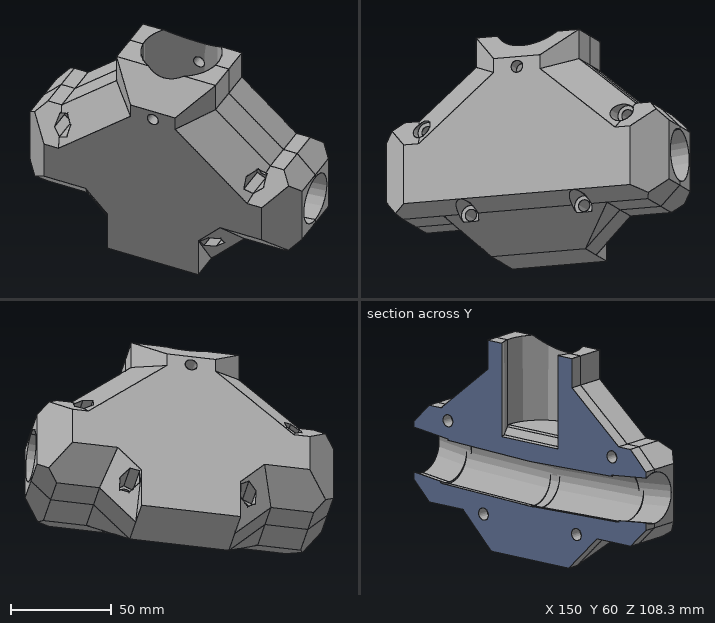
import cadquery as cq
import math

half_length = 75.0
half_depth = 30.0
height = 108.3
bevel = 15.0

neck_half_width = 27.3
neck_height = 15.0
leg_half_width = 25.0
arm_bottom = 18.3
arm_height = 50.0
arm_end_flat = 30.0
shoulder_x = 57.5

arm_top = arm_bottom + arm_height
corner_cut = (arm_height - arm_end_flat) / 2
neck_bottom = height - neck_height
leg_corner_x = leg_half_width + arm_bottom

rear_slope_rise = 5.1

socket_diameter = 40.2
socket_y = 2.5
socket_depth_front = 48.0
socket_step = 4.2
socket_ramp_y = -3.3

bore_diameter = 26.1
bore_mouth_z = 43.6
bore_tilt = 6.0
bore_depth = 21.0
inner_bore_drop = 0.68
inner_bore_middle_z = 39.2
bore_overshoot = 3.0

bolt_diameter = 6.0
bolt_recess_diameter = 10.0
nut_pocket_floor = 12.0
counterbore_floor = 15.0
neck_bolt = (0.0, 88.4)
shoulder_bolt_x = 53.0
shoulder_bolt_z = 62.2
leg_bolt_x = 30.0
recessed_bolts = [
    (-shoulder_bolt_x, shoulder_bolt_z, -5.0),
    (shoulder_bolt_x, shoulder_bolt_z, 5.0),
    (-leg_bolt_x, arm_bottom, 5.0),
    (leg_bolt_x, arm_bottom, 5.0),
]


def mirrored_outline(right_side):
    """Closed outline from the points of its right side, listed from top to bottom."""
    left_side = [(-x, z) for x, z in reversed(right_side) if x > 0]
    return right_side + left_side


def bevelled_prism(right_side):
    """Convex prism on the -Y side of the split plane, bevelled all round its outer face."""
    outline = mirrored_outline(right_side)
    straight = cq.Workplane("XZ").polyline(outline).close().extrude(half_depth - bevel)
    tapered = (
        cq.Workplane("XZ", origin=(0, bevel - half_depth, 0))
        .polyline(outline)
        .close()
        .extrude(bevel, taper=45)
    )
    return straight.union(tapered)


def upper_block(base):
    """Neck, sloping shoulders and arms, all standing on the level `base`."""
    slope_run = (shoulder_x - neck_half_width) / (neck_bottom - arm_top)
    slope_top_x = neck_half_width - neck_height * slope_run
    slope_end_z = arm_top - (half_length - shoulder_x) / slope_run
    neck = bevelled_prism([(neck_half_width, height), (neck_half_width, base)])
    shoulders = bevelled_prism([(slope_top_x, height), (half_length, slope_end_z), (half_length, base)])
    arms = bevelled_prism([(half_length, arm_top), (half_length, base)])
    return neck.union(shoulders).union(arms)


def front_blank():
    leg = bevelled_prism([(half_length, half_length - leg_half_width), (0, -leg_half_width)])
    above_base = cq.Workplane("XZ").rect(2 * half_length, 2 * height).extrude(half_depth)
    above_base = above_base.translate((0, 0, height))
    leg_core_height = arm_bottom + bevel
    leg_core = (
        cq.Workplane("XZ", origin=(0, 0, leg_core_height / 2))
        .rect(2 * leg_half_width, leg_core_height)
        .extrude(half_depth)
    )
    return upper_block(arm_bottom).union(leg).intersect(above_base).union(leg_core)


def rear_blank():
    block = upper_block(-half_depth).mirror("XZ")
    silhouette = [
        (half_length, height),
        (half_length, arm_bottom),
        (leg_corner_x, arm_bottom),
        (leg_half_width, 0),
    ]
    block = block.intersect(
        cq.Workplane("XZ").polyline(mirrored_outline(silhouette)).close().extrude(-half_depth)
    )
    side_profile = [
        (0, 0),
        (arm_bottom, arm_bottom),
        (half_depth, arm_bottom + rear_slope_rise),
        (half_depth, height),
        (0, height),
    ]
    return block.intersect(cq.Workplane("YZ").polyline(side_profile).close().extrude(half_length, both=True))


def arm_corner_cuts():
    """Prisms that cut the top and bottom corners off both arm ends."""
    cuts = cq.Workplane("XZ")
    for side in (-1, 1):
        for corner_z, inward in ((arm_top, -1), (arm_bottom, 1)):
            corner_x = side * half_length
            cuts = cuts.polyline(
                [
                    (corner_x, corner_z),
                    (corner_x - side * corner_cut, corner_z),
                    (corner_x, corner_z + inward * corner_cut),
                ]
            ).close()
    return cuts.extrude(half_depth, both=True)


def neck_socket():
    """Blind round socket whose floor has a 45 degree ramp up to the rear."""
    radius = socket_diameter / 2
    floor = height - socket_depth_front
    bore = cq.Workplane("XY", origin=(0, socket_y, floor)).circle(radius).extrude(socket_depth_front)
    step_profile = [
        (socket_ramp_y, floor),
        (socket_ramp_y + socket_step, floor + socket_step),
        (half_depth, floor + socket_step),
        (half_depth, floor),
    ]
    step = cq.Workplane("YZ").polyline(step_profile).close().extrude(half_length, both=True)
    return bore.cut(step)


def arm_bore_cutters(side):
    """Cutters from one arm end to the middle: a tilted outer length, then a slightly lower inner length."""
    tilt = math.radians(bore_tilt)
    radius = bore_diameter / 2
    inward = cq.Vector(-side * math.cos(tilt), 0, -math.sin(tilt))
    mouth = cq.Vector(side * half_length, 0, bore_mouth_z)
    outer_end = mouth + inward * bore_depth
    inner_start = outer_end - cq.Vector(0, 0, inner_bore_drop)
    to_middle = cq.Vector(0, 0, inner_bore_middle_z) - inner_start
    outer_start = mouth - inward * bore_overshoot
    outer = cq.Solid.makeCylinder(radius, bore_depth + bore_overshoot, outer_start, inward)
    inner_length = to_middle.Length + 2 * bore_overshoot
    inner_start = inner_start - to_middle.normalized() * bore_overshoot
    inner = cq.Solid.makeCylinder(radius, inner_length, inner_start, to_middle)
    return [outer, inner]


def bolt_holes():
    centres = [neck_bolt] + [(x, z) for x, z, turn in recessed_bolts]
    return cq.Workplane("XZ").pushPoints(centres).circle(bolt_diameter / 2).extrude(half_depth, both=True)


def nut_pockets():
    """Hexagonal pockets from the front face."""
    pockets = cq.Workplane("XZ")
    for x, z, turn in recessed_bolts:
        pocket = (
            cq.Workplane("XZ", origin=(x, -nut_pocket_floor, z))
            .transformed(rotate=(0, 0, 90 + turn))
            .polygon(6, bolt_recess_diameter)
            .extrude(half_depth - nut_pocket_floor)
        )
        pockets = pockets.add(pocket)
    return pockets.combine()


def head_counterbores():
    """Round counterbores from the rear face."""
    return (
        cq.Workplane("XZ", origin=(0, counterbore_floor, 0))
        .pushPoints([(x, z) for x, z, turn in recessed_bolts])
        .circle(bolt_recess_diameter / 2)
        .extrude(counterbore_floor - half_depth)
    )


def hollowed(blank):
    """Blank with the cuts that both halves share."""
    for cutter in (arm_corner_cuts(), neck_socket(), bolt_holes()):
        blank = blank.cut(cutter)
    for side in (-1, 1):
        for cylinder in arm_bore_cutters(side):
            blank = blank.cut(cq.Workplane(cylinder))
    return blank


front_half = hollowed(front_blank()).cut(nut_pockets())
rear_half = hollowed(rear_blank()).cut(head_counterbores())

result = cq.Compound.makeCompound([front_half.val(), rear_half.val()])